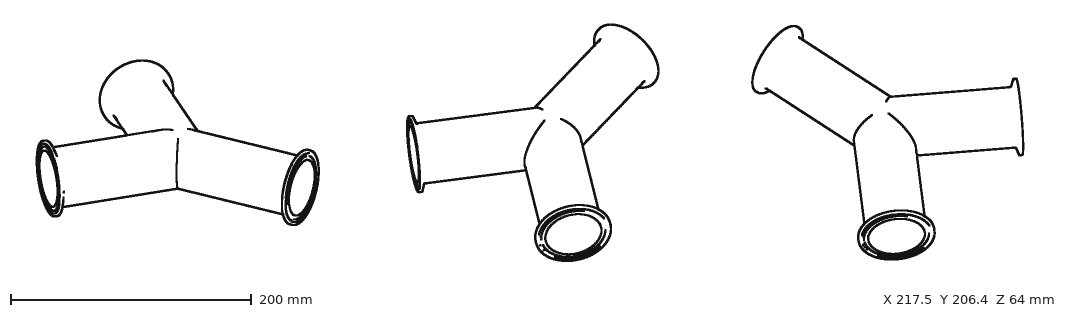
import cadquery as cq
import math

overall_length = 217.5
branch_angle = 45
arm_directions = (0, 180 - branch_angle, 180 + branch_angle)
pipe_diameter = 50.7
bore_diameter = 47.5

flange_diameter = 64.0
flange_depth = 5.0
taper_angle = 20
neck_fillet = 1.7
rim_fillet = 0.52

groove_diameter = 56.5
groove_width = 2.5
groove_lip_fillet = 0.5

pipe_radius = pipe_diameter / 2
flange_radius = flange_diameter / 2

branch_cos = math.cos(math.radians(branch_angle))
branch_sin = math.sin(math.radians(branch_angle))
rim_reach = (flange_radius - rim_fillet) * branch_sin - rim_fillet * branch_cos + rim_fillet
arm_length = (overall_length - rim_reach) / (1 + branch_cos)

taper_depth = (flange_radius - pipe_radius) * math.tan(math.radians(taper_angle))
taper_start = arm_length - flange_depth
rim_back = taper_start + taper_depth


def make_arm():
    """Solid arm along +X: pipe and flange turned as one, edges rounded."""
    profile = [
        (0, 0),
        (0, pipe_radius),
        (taper_start, pipe_radius),
        (rim_back, flange_radius),
        (arm_length, flange_radius),
        (arm_length, 0),
    ]
    arm = cq.Workplane("XY").polyline(profile).close().revolve(360, (0, 0, 0), (1, 0, 0))

    arm = arm.edges("%CIRCLE").edges(">>X[-3]").fillet(neck_fillet)
    rim_edges = arm.edges("%CIRCLE").edges(">>X[-1] or >>X[-2]")
    return rim_edges.fillet(rim_fillet)


def cut_groove(arm):
    """Turn the gasket groove into the end face of the arm along +X."""
    groove = (
        cq.Workplane("XY")
        .center(arm_length, groove_diameter / 2)
        .circle(groove_width / 2)
        .revolve(360, (0, -groove_diameter / 2, 0), (1, -groove_diameter / 2, 0))
    )
    end_edges = arm.cut(groove).faces(">X").edges("%CIRCLE")
    lips = end_edges.edges(cq.selectors.RadiusNthSelector(0)).add(
        end_edges.edges(cq.selectors.RadiusNthSelector(1))
    )
    return lips.fillet(groove_lip_fillet)


def make_bore():
    """Straight bore from the junction through the end face."""
    return cq.Workplane("YZ").circle(bore_diameter / 2).extrude(arm_length)


def on_all_arms(shape):
    """Join one copy of a shape for each arm direction."""
    joined = cq.Workplane("XY")
    for direction in arm_directions:
        joined = joined.union(shape.rotate((0, 0, 0), (0, 0, 1), direction))
    return joined


body = on_all_arms(cut_groove(make_arm()))
result = body.cut(on_all_arms(make_bore()))